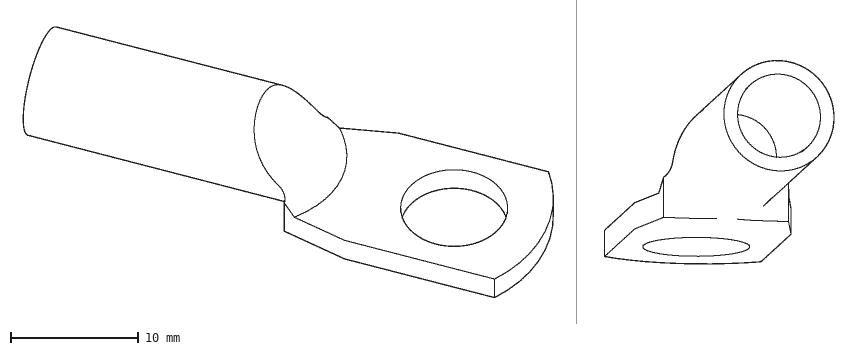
import cadquery as cq
import math

length = 42.0
palm_width = 12.5
barrel_diameter = 8.8

barrel_radius = barrel_diameter / 2
bore_radius = 3.3
slope_start = 18.25

palm_thickness = 2.1
palm_start = 22.0
palm_start_width = 10.0
taper_end = 27.5
corner_x = 40.03
hole_x = 34.4
hole_radius = 4.2

slope_angle = 45.0
crown_radius = 10.1
collar_fillet = 0.65


def palm_block(height):
    """Palm outline, with tapered sides and a rounded tip, raised to a height."""
    half_width = palm_width / 2
    half_start = palm_start_width / 2
    return (
        cq.Workplane("XY")
        .moveTo(palm_start, -half_start)
        .lineTo(taper_end, -half_width)
        .lineTo(corner_x, -half_width)
        .threePointArc((length, 0), (corner_x, half_width))
        .lineTo(taper_end, half_width)
        .lineTo(palm_start, half_start)
        .close()
        .extrude(height)
    )


def cylinder_along_x(start, end, radius):
    """Cylinder on the barrel axis."""
    return (
        cq.Workplane("YZ", origin=(start, 0, barrel_radius))
        .circle(radius)
        .extrude(end - start)
    )


def collar():
    """Concave flare between the barrel and the back of the palm block, flat underneath."""
    start = palm_start - collar_fillet
    outer_radius = barrel_radius + collar_fillet
    arc_offset = collar_fillet * math.sqrt(0.5)
    flare = (
        cq.Workplane("XY")
        .moveTo(start, 0)
        .lineTo(start, barrel_radius)
        .threePointArc(
            (start + arc_offset, outer_radius - arc_offset),
            (palm_start, outer_radius),
        )
        .lineTo(palm_start, 0)
        .close()
        .revolve(360, (0, 0, 0), (1, 0, 0))
        .translate((0, 0, barrel_radius))
    )
    above_base = cq.Workplane("XY").box(
        length, palm_width, barrel_diameter, centered=(False, True, False)
    )
    return flare.intersect(above_base)


def crown():
    """Large inclined cylinder whose uppermost line is the ridge of the slope."""
    angle = math.radians(slope_angle)
    downhill = (math.cos(angle), 0, -math.sin(angle))
    ridge_start = cq.Vector(slope_start, 0, barrel_diameter)
    inward = cq.Vector(-math.sin(angle), 0, -math.cos(angle))
    center = ridge_start + inward * crown_radius
    axis_plane = cq.Plane(origin=center.toTuple(), xDir=(0, 1, 0), normal=downhill)
    return cq.Workplane(axis_plane).circle(crown_radius).extrude(length, both=True)


def transition():
    """Solid neck joining the barrel to the palm, trimmed to the crowned slope."""
    neck = cylinder_along_x(slope_start, palm_start, barrel_radius)
    return neck.union(collar()).union(palm_block(barrel_diameter)).intersect(crown())


barrel = cylinder_along_x(0, slope_start, barrel_radius)
bore = cylinder_along_x(0, slope_start, bore_radius)
stud_hole = cq.Workplane("XY").center(hole_x, 0).circle(hole_radius).extrude(palm_thickness)

result = (
    barrel.union(transition())
    .union(palm_block(palm_thickness))
    .cut(bore)
    .cut(stud_hole)
)